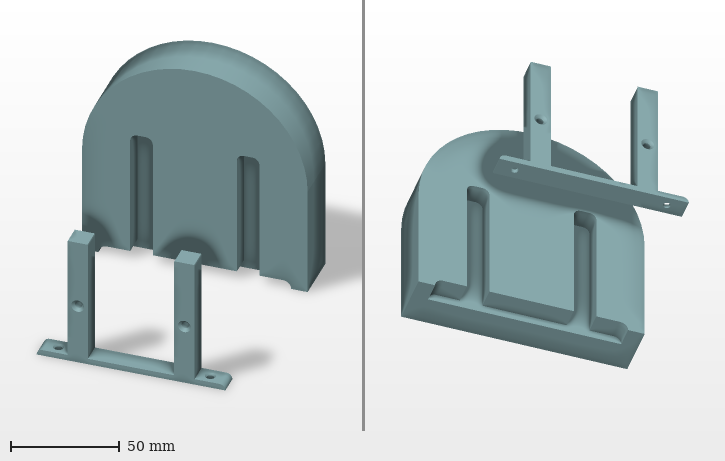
import cadquery as cq

BLOCK_WIDTH = 110.0
BLOCK_DEPTH = 25.0
BLOCK_HEIGHT = 110.21
ARCH_SPRING_HEIGHT = 55.42
BODY_GAP = 80.0

BRACKET_DEPTH = 10.0
PLATE_LENGTH = 92.0
PLATE_THICKNESS = 3.0
LEG_WIDTH = 10.0
LEG_HEIGHT = 66.0
LEG_OFFSET = 26.0
LEG_CORNER_RADIUS = 3.0
LEG_CORNER_RISE = 1.0

HOLE_DIAMETER = 3.5
COUNTERSINK_ANGLE = 90.0
LEG_HOLE_HEIGHT = 31.0
LEG_COUNTERSINK_DIAMETER = 6.2
PLATE_COUNTERSINK_DIAMETER = 5.2

PLATE_CLEARANCE = 1.0
LEG_CLEARANCE = 0.5

HALF_WIDTH = BLOCK_WIDTH / 2
PLATE_HOLE_OFFSET = (LEG_OFFSET + LEG_WIDTH / 2 + PLATE_LENGTH / 2 - PLATE_THICKNESS) / 2
LEG_CENTERS = (-LEG_OFFSET, LEG_OFFSET)
BLOCK_FRONT = BRACKET_DEPTH + BODY_GAP
LEG_CORNER_START = LEG_HEIGHT - LEG_CORNER_RISE
SLOT_CORNER_RADIUS = LEG_CORNER_RADIUS + LEG_CLEARANCE
POCKET_DEPTH = BRACKET_DEPTH


def front_plane(y):
    """Workplane facing -Y at the given depth; local axes are X and Z."""
    return cq.Workplane("XZ", origin=(0, y, 0))


def rounded_strip(length, height, y, depth):
    """Flat strip resting on Z = 0 whose ends are quarter rounds as tall as the strip."""
    half = length / 2
    flat_half = half - height
    return (
        front_plane(y)
        .moveTo(-half, 0)
        .radiusArc((-flat_half, height), height)
        .lineTo(flat_half, height)
        .radiusArc((half, 0), height)
        .close()
        .extrude(-depth)
    )


def upright(x, width, corner_radius, y, depth):
    """Vertical bar standing on Z = 0 with rounded upper corners that begin at LEG_CORNER_START."""
    height = LEG_CORNER_START + corner_radius
    return (
        front_plane(y)
        .center(x, height / 2)
        .rect(width, height)
        .extrude(-depth)
        .edges("|Y and >Z")
        .fillet(corner_radius)
    )


def leg(x):
    """Bracket leg: an upright cut flat at the leg height, partway up its rounded corners."""
    below_top = (
        front_plane(0)
        .center(x, LEG_HEIGHT / 2)
        .rect(LEG_WIDTH, LEG_HEIGHT)
        .extrude(-BRACKET_DEPTH)
    )
    return upright(x, LEG_WIDTH, LEG_CORNER_RADIUS, 0, BRACKET_DEPTH).intersect(below_top)


def make_bracket():
    """Mounting bracket: a foot plate with two legs, all screw holes countersunk."""
    bracket = rounded_strip(PLATE_LENGTH, PLATE_THICKNESS, 0, BRACKET_DEPTH)
    for x in LEG_CENTERS:
        bracket = bracket.union(leg(x))
    bracket = (
        front_plane(0)
        .add(bracket)
        .pushPoints([(x, LEG_HOLE_HEIGHT) for x in LEG_CENTERS])
        .cskHole(HOLE_DIAMETER, LEG_COUNTERSINK_DIAMETER, COUNTERSINK_ANGLE)
    )
    return (
        cq.Workplane("XY", origin=(0, BRACKET_DEPTH / 2, PLATE_THICKNESS))
        .add(bracket)
        .pushPoints([(-PLATE_HOLE_OFFSET, 0), (PLATE_HOLE_OFFSET, 0)])
        .cskHole(HOLE_DIAMETER, PLATE_COUNTERSINK_DIAMETER, COUNTERSINK_ANGLE)
    )


def make_block():
    """Arched block with a pocket in its front face that receives the bracket."""
    block = (
        front_plane(BLOCK_FRONT)
        .moveTo(-HALF_WIDTH, 0)
        .lineTo(-HALF_WIDTH, ARCH_SPRING_HEIGHT)
        .threePointArc((0, BLOCK_HEIGHT), (HALF_WIDTH, ARCH_SPRING_HEIGHT))
        .lineTo(HALF_WIDTH, 0)
        .close()
        .extrude(-BLOCK_DEPTH)
    )
    recess = rounded_strip(
        PLATE_LENGTH + 2 * PLATE_CLEARANCE,
        PLATE_THICKNESS + PLATE_CLEARANCE,
        BLOCK_FRONT,
        POCKET_DEPTH,
    )
    block = block.cut(recess)
    for x in LEG_CENTERS:
        slot = upright(
            x,
            LEG_WIDTH + 2 * LEG_CLEARANCE,
            SLOT_CORNER_RADIUS,
            BLOCK_FRONT,
            POCKET_DEPTH,
        )
        block = block.cut(slot)
    return block


bracket = make_bracket()
block = make_block()
result = cq.Compound.makeCompound([block.val(), bracket.val()])